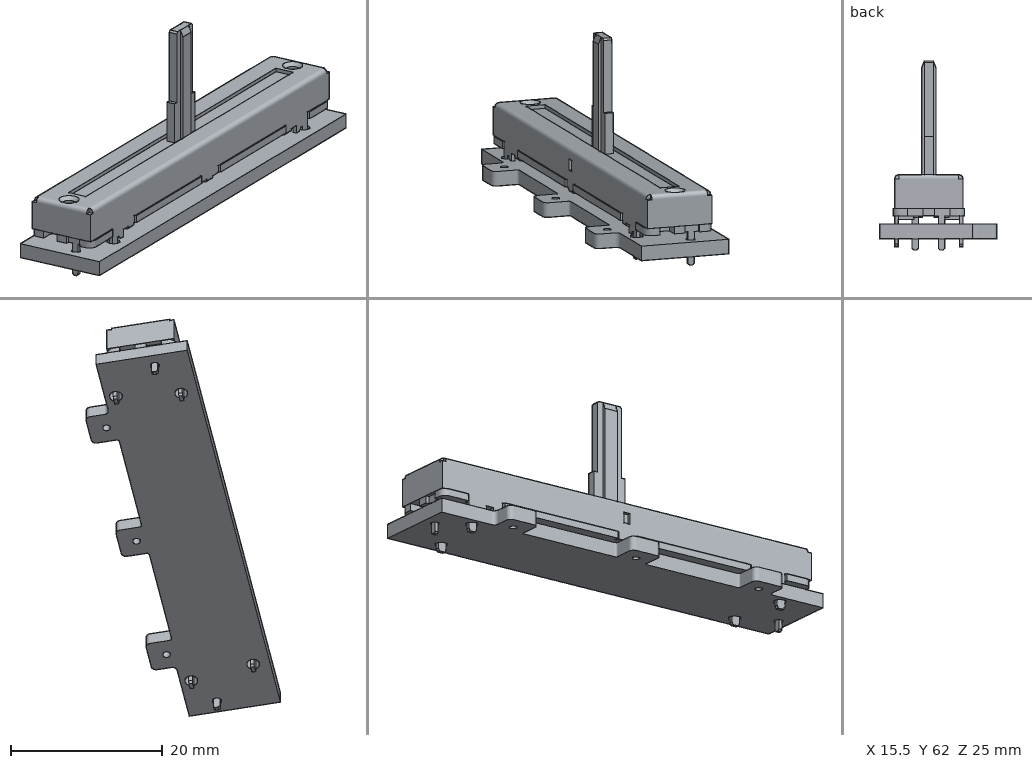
import cadquery as cq


BOARD_LENGTH = 62.0
BOARD_THICKNESS = 2.0
BOARD_RIGHT_X = 6.5
BOARD_LEFT_X = -5.75
BOARD_INSET_X = -5.4
TAB_LEFT_X = -9.0
TAB_WIDTH = 4.65
TAB_PITCH = 19.95
TAB_CORNER_RADIUS = 0.7
OUTER_ROOT_RADIUS = 0.6
INNER_ROOT_RADIUS = 0.3
TAB_HOLE_X = -6.6
TAB_HOLE_DIAMETER = 1.0

SHEET = 0.5
HOUSING_WIDTH = 9.05
HOUSING_LENGTH = 60.0
HOUSING_TOP_Z = 6.5
HOUSING_BOTTOM_Z = 2.05
HOUSING_BEND_RADIUS = 0.6
SLOT_WIDTH = 2.65
SLOT_LENGTH = 52.15
SCREW_Y = 28.1
SCREW_SINK_DIAMETER = 2.65
SCREW_HOLE_DIAMETER = 1.7
SCREW_SINK_DEPTH = 0.5
SCREW_HOLE_DEPTH = 0.9
MARK_WIDTH = 1.0
MARK_BOTTOM_Z = 3.55
MARK_TOP_Z = 5.0

SKIRT_OUTER_Y = 25.65
SKIRT_INNER_Y = 20.2
RIGHT_SKIRT_SHIFT = 1.2
LEFT_CENTRE_SKIRT = 2.6
RIGHT_CENTRE_SKIRT = 4.2
LEG_WIDTH = 2.8
CLIP_WIDTH = 1.25
CLIP_BOTTOM_Z = -3.05
CLIP_CHAMFER = 0.2
CLIP_HOLE_DIAMETER = 1.7
ARCH_WIDTH = 0.8
ARCH_HEIGHT = 0.45

TONGUE_WIDTH = 1.4
TONGUE_INNER_X = 2.0
TONGUE_CORNER_RADIUS = 0.55
TONGUE_BEND_RADIUS = 0.45
TONGUE_CENTRE_Y = 20.95

BASE_BOTTOM_Z = 1.05
BASE_WIDTH = 9.4
BASE_LENGTH = 59.9
BASE_CORNER_RADIUS = 1.0
FLANGE_GAP = 0.25
END_RECESS_INNER_X = 0.75
END_RECESS_OUTER_X = 2.8
END_RECESS_DEPTH = 2.0

FRONT_TERMINAL_X = 1.8
REAR_TERMINAL_X = -1.7
TERMINAL_FACE_SETBACK = 0.5
TERMINAL_WIDTH = 0.85
TERMINAL_BOTTOM_Z = -3.5
TERMINAL_CHAMFER = 0.25
TERMINAL_HOLE_DIAMETER = 1.2
RIVET_Y = 27.15
RIVET_DIAMETER = 2.0
RIVET_HEIGHT = 0.2

LEVER_TOP_Z = 21.5
LEVER_SHOULDER_Z = 11.55
BLADE_THICKNESS = 1.2
BLADE_LENGTH = 3.95
BLADE_ROOT_LENGTH = 5.1
BLADE_TOP_CHAMFER = 0.25
RIB_THICKNESS = 1.9
RIB_LENGTH = 2.05
RIB_TAPER_HEIGHT = 0.9

WALL_OUTER_X = HOUSING_WIDTH / 2
WALL_INNER_X = WALL_OUTER_X - SHEET
HOUSING_END_Y = HOUSING_LENGTH / 2
BASE_END_Y = BASE_LENGTH / 2
END_RECESS_Y = BASE_END_Y - END_RECESS_DEPTH
TERMINAL_FACE_Y = BASE_END_Y - TERMINAL_FACE_SETBACK
TERMINAL_Y = TERMINAL_FACE_Y - SHEET / 2
SLOT_FLOOR_Z = HOUSING_TOP_Z - SHEET
CLIP_HOLE_X = WALL_OUTER_X - SHEET / 2
CLIP_CENTRE_Y = SKIRT_OUTER_Y - CLIP_WIDTH / 2
TERMINAL_SPOTS = [(FRONT_TERMINAL_X, -1), (REAR_TERMINAL_X, 1)]
LEFT, RIGHT = -1, 1


def block(x0, x1, y0, y1, z0, z1):
    """Box between two corners given in any order."""
    size = (abs(x1 - x0), abs(y1 - y0), abs(z1 - z0))
    return cq.Workplane("XY").box(*size).translate(((x0 + x1) / 2, (y0 + y1) / 2, (z0 + z1) / 2))


def shift_of(side):
    """Distance by which the corner features of a side move toward the middle."""
    return RIGHT_SKIRT_SHIFT if side == RIGHT else 0.0


def board_hole(x, y, diameter):
    return cq.Workplane("XY").center(x, y).circle(diameter / 2).extrude(-BOARD_THICKNESS)


def make_board():
    half = BOARD_LENGTH / 2
    outer_tab_y = TAB_PITCH + TAB_WIDTH / 2
    board = block(BOARD_INSET_X, BOARD_RIGHT_X, -half, half, -BOARD_THICKNESS, 0)
    for end in (-1, 1):
        board = board.union(
            block(BOARD_LEFT_X, BOARD_INSET_X, end * TAB_PITCH, end * half, -BOARD_THICKNESS, 0)
        )
    for y in (-TAB_PITCH, 0, TAB_PITCH):
        board = board.union(
            block(TAB_LEFT_X, BOARD_INSET_X, y - TAB_WIDTH / 2, y + TAB_WIDTH / 2, -BOARD_THICKNESS, 0)
        )
    board = board.clean()

    def upright_edges(x, y_from, y_to):
        reach = 0.05
        near = cq.selectors.BoxSelector(
            (x - reach, y_from - reach, -BOARD_THICKNESS), (x + reach, y_to + reach, 0)
        )
        return board.edges("|Z").edges(near)

    board = upright_edges(TAB_LEFT_X, -half, half).fillet(TAB_CORNER_RADIUS)
    board = upright_edges(BOARD_INSET_X, -half, half).fillet(INNER_ROOT_RADIUS)
    board = upright_edges(BOARD_LEFT_X, -outer_tab_y, outer_tab_y).fillet(OUTER_ROOT_RADIUS)

    for y in (-TAB_PITCH, 0, TAB_PITCH):
        board = board.cut(board_hole(TAB_HOLE_X, y, TAB_HOLE_DIAMETER))
    for side in (LEFT, RIGHT):
        for end in (-1, 1):
            y = end * (CLIP_CENTRE_Y - shift_of(side))
            board = board.cut(board_hole(side * CLIP_HOLE_X, y, CLIP_HOLE_DIAMETER))
    for x, end in TERMINAL_SPOTS:
        board = board.cut(board_hole(x, end * TERMINAL_Y, TERMINAL_HOLE_DIAMETER))
    return board


def make_housing():
    housing = block(
        -WALL_OUTER_X, WALL_OUTER_X, -HOUSING_END_Y, HOUSING_END_Y, HOUSING_BOTTOM_Z, HOUSING_TOP_Z
    )
    housing = housing.faces(">Z").edges().fillet(HOUSING_BEND_RADIUS)
    for side in (LEFT, RIGHT):
        for end in (-1, 1):
            housing = housing.cut(
                block(
                    side * (WALL_OUTER_X - HOUSING_BEND_RADIUS), side * WALL_OUTER_X,
                    end * (HOUSING_END_Y - HOUSING_BEND_RADIUS), end * HOUSING_END_Y,
                    HOUSING_TOP_Z - HOUSING_BEND_RADIUS, HOUSING_TOP_Z,
                )
            )
    housing = housing.cut(
        block(-SLOT_WIDTH / 2, SLOT_WIDTH / 2, -SLOT_LENGTH / 2, SLOT_LENGTH / 2, SLOT_FLOOR_Z, HOUSING_TOP_Z)
    )
    housing = housing.cut(
        block(
            -WALL_OUTER_X, -WALL_INNER_X, -MARK_WIDTH / 2, MARK_WIDTH / 2, MARK_BOTTOM_Z, MARK_TOP_Z
        )
    )
    screw_profile = [
        (0, HOUSING_TOP_Z),
        (SCREW_SINK_DIAMETER / 2, HOUSING_TOP_Z),
        (SCREW_HOLE_DIAMETER / 2, HOUSING_TOP_Z - SCREW_SINK_DEPTH),
        (SCREW_HOLE_DIAMETER / 2, HOUSING_TOP_Z - SCREW_HOLE_DEPTH),
        (0, HOUSING_TOP_Z - SCREW_HOLE_DEPTH),
    ]
    screw_hole = cq.Workplane("XZ").polyline(screw_profile).close().revolve(360, (0, 0), (0, 1))
    for end in (-1, 1):
        housing = housing.cut(screw_hole.translate((0, end * SCREW_Y, 0)))
    return housing


def make_corner_skirt(side, end):
    """Wall extension with a board clip, an arch beside it and a foot that rests on the board."""
    outer_y = SKIRT_OUTER_Y - shift_of(side)
    inner_y = SKIRT_INNER_Y - shift_of(side)
    clip_inner_y = outer_y - CLIP_WIDTH
    arch_inner_y = clip_inner_y - ARCH_WIDTH
    outline = [
        (outer_y, HOUSING_BOTTOM_Z),
        (outer_y, CLIP_BOTTOM_Z + 2 * CLIP_CHAMFER),
        (outer_y - CLIP_CHAMFER, CLIP_BOTTOM_Z),
        (clip_inner_y + CLIP_CHAMFER, CLIP_BOTTOM_Z),
        (clip_inner_y, CLIP_BOTTOM_Z + 2 * CLIP_CHAMFER),
        (clip_inner_y, ARCH_HEIGHT),
        (clip_inner_y - ARCH_WIDTH / 2, ARCH_HEIGHT),
        (arch_inner_y, 0),
        (outer_y - LEG_WIDTH, 0),
        (outer_y - LEG_WIDTH, BASE_BOTTOM_Z),
        (inner_y, BASE_BOTTOM_Z),
        (inner_y, HOUSING_BOTTOM_Z),
    ]
    skirt = cq.Workplane("YZ").polyline([(end * y, z) for y, z in outline]).close().extrude(SHEET)
    wall_x = WALL_INNER_X if side == RIGHT else -WALL_OUTER_X
    return skirt.translate((wall_x, 0, 0))


def make_centre_skirt(side):
    half = (RIGHT_CENTRE_SKIRT if side == RIGHT else LEFT_CENTRE_SKIRT) / 2
    return block(side * WALL_INNER_X, side * WALL_OUTER_X, -half, half, BASE_BOTTOM_Z, HOUSING_BOTTOM_Z)


def make_tongue(side, y):
    """Strip bent inward under the base, with a rounded bend and rounded free corners."""
    tongue = block(
        side * TONGUE_INNER_X, side * WALL_OUTER_X, y - TONGUE_WIDTH / 2, y + TONGUE_WIDTH / 2,
        BASE_BOTTOM_Z - SHEET, BASE_BOTTOM_Z,
    )
    free_end, bend = ("<X", ">X") if side == RIGHT else (">X", "<X")
    tongue = tongue.faces(free_end).edges("|Z").fillet(TONGUE_CORNER_RADIUS)
    return tongue.faces(bend).edges("<Z").fillet(TONGUE_BEND_RADIUS)


def make_base():
    base = block(
        -BASE_WIDTH / 2, BASE_WIDTH / 2, -BASE_END_Y, BASE_END_Y, BASE_BOTTOM_Z, HOUSING_BOTTOM_Z
    )
    base = base.edges("|Z").fillet(BASE_CORNER_RADIUS)
    for side in (LEFT, RIGHT):
        centre_half = (RIGHT_CENTRE_SKIRT if side == RIGHT else LEFT_CENTRE_SKIRT) / 2 + FLANGE_GAP
        outer_y = SKIRT_OUTER_Y - shift_of(side) + FLANGE_GAP
        inner_y = SKIRT_INNER_Y - shift_of(side) - FLANGE_GAP
        for y0, y1 in ((inner_y, outer_y), (-centre_half, centre_half), (-outer_y, -inner_y)):
            base = base.cut(
                block(side * WALL_INNER_X, side * BASE_WIDTH / 2, y0, y1, BASE_BOTTOM_Z, HOUSING_BOTTOM_Z)
            )
    for side in (LEFT, RIGHT):
        for end in (-1, 1):
            base = base.cut(
                block(
                    side * END_RECESS_INNER_X, side * END_RECESS_OUTER_X,
                    end * END_RECESS_Y, end * BASE_END_Y, BASE_BOTTOM_Z, HOUSING_BOTTOM_Z,
                )
            )
    return base


def make_terminal(x, end):
    """Flat pin on a wide lug seated in an end recess, and the rivet that holds it."""
    side = RIGHT if x > 0 else LEFT
    lug = block(
        side * END_RECESS_INNER_X, side * END_RECESS_OUTER_X,
        end * END_RECESS_Y, end * TERMINAL_FACE_Y, BASE_BOTTOM_Z, HOUSING_BOTTOM_Z,
    )
    pin = block(
        x - TERMINAL_WIDTH / 2, x + TERMINAL_WIDTH / 2,
        end * (TERMINAL_FACE_Y - SHEET), end * TERMINAL_FACE_Y,
        TERMINAL_BOTTOM_Z, HOUSING_BOTTOM_Z,
    )
    pin = pin.faces("<Z").edges("|Y").chamfer(TERMINAL_CHAMFER)
    rivet = (
        cq.Workplane("XY", origin=(x, end * RIVET_Y, BASE_BOTTOM_Z))
        .circle(RIVET_DIAMETER / 2)
        .extrude(-RIVET_HEIGHT)
    )
    return lug, pin, rivet


def make_lever():
    """Stepped blade with a tapered rib on both faces."""
    half_blade = BLADE_THICKNESS / 2
    half_rib = RIB_THICKNESS / 2
    blade = block(
        -half_blade, half_blade, -BLADE_LENGTH / 2, BLADE_LENGTH / 2, SLOT_FLOOR_Z, LEVER_TOP_Z
    )
    blade = blade.faces(">Z").edges("|X").chamfer(BLADE_TOP_CHAMFER)
    root = block(
        -half_blade, half_blade, -BLADE_ROOT_LENGTH / 2, BLADE_ROOT_LENGTH / 2,
        SLOT_FLOOR_Z, LEVER_SHOULDER_Z,
    )
    rib_outline = [
        (-half_rib, SLOT_FLOOR_Z),
        (half_rib, SLOT_FLOOR_Z),
        (half_rib, LEVER_TOP_Z - RIB_TAPER_HEIGHT),
        (half_blade, LEVER_TOP_Z),
        (-half_blade, LEVER_TOP_Z),
        (-half_rib, LEVER_TOP_Z - RIB_TAPER_HEIGHT),
    ]
    rib = cq.Workplane("XZ").polyline(rib_outline).close().extrude(RIB_LENGTH / 2, both=True)
    return blade.union(root).union(rib)


result = make_housing().union(make_base()).union(make_lever())
for wall_side in (LEFT, RIGHT):
    result = result.union(make_centre_skirt(wall_side)).union(make_tongue(wall_side, 0))
    for board_end in (-1, 1):
        tongue_y = board_end * (TONGUE_CENTRE_Y - shift_of(wall_side))
        result = result.union(make_corner_skirt(wall_side, board_end))
        result = result.union(make_tongue(wall_side, tongue_y))
for terminal_x, board_end in TERMINAL_SPOTS:
    for piece in make_terminal(terminal_x, board_end):
        result = result.union(piece)
result = result.union(make_board())